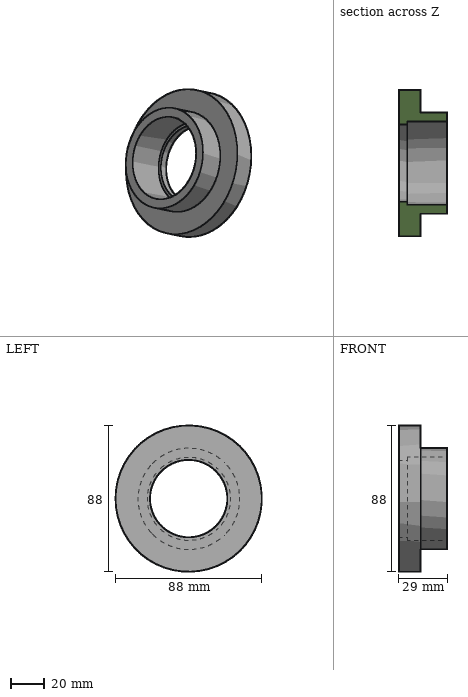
import cadquery as cq

flange_diameter = 88.0
flange_thickness = 13.0
hub_diameter = 61.0
overall_length = 29.0
bore_diameter = 46.33
counterbore_diameter = 50.0
lip_thickness = 5.0


def cylinder_along_x(diameter, start, end):
    """Solid cylinder on the X axis between two X positions."""
    return cq.Workplane("YZ", origin=(start, 0, 0)).circle(diameter / 2).extrude(end - start)


flange = cylinder_along_x(flange_diameter, 0, flange_thickness)
hub = cylinder_along_x(hub_diameter, 0, overall_length)

bore = cylinder_along_x(bore_diameter, 0, overall_length)
counterbore = cylinder_along_x(counterbore_diameter, lip_thickness, overall_length)

result = flange.union(hub).cut(bore).cut(counterbore)